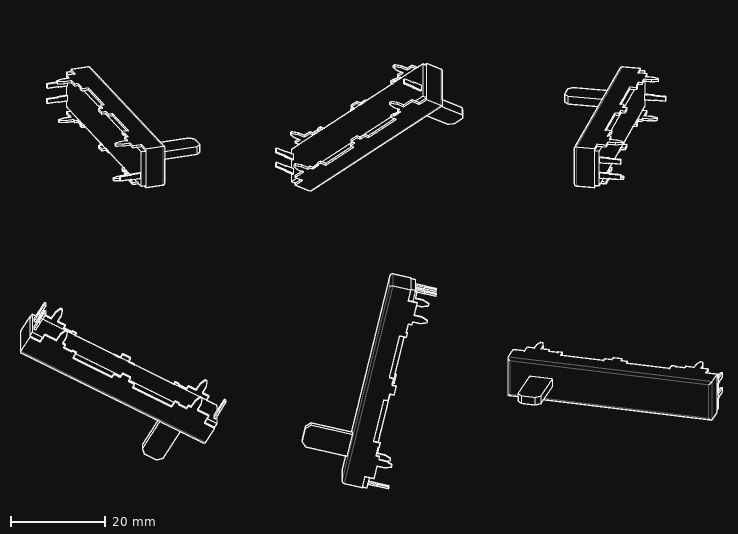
import cadquery as cq


length = 45.0
height = 9.0
cover_depth = 4.5
cover_edge_radius = 0.6
sheet = 0.5

foot_start = 2.5
foot_end = 7.5
ledge_end = 9.5
lug_end = 10.5
centre_step_start = 20.0
centre_tab_start = 21.5
foot_depth = 6.5
ledge_depth = 5.7
lug_depth = 6.0
centre_step_depth = 5.4
centre_tab_depth = 6.4

prong_pair_inset = 5.5
prong_spacing = 1.2
prong_width = 1.5
prong_tip_width = 0.5
prong_taper_depth = 8.15
prong_depth = 9.5

base_depth = 5.55
base_height = height - 2 * sheet

terminal_inset = 0.4
terminal_thickness = 0.4
terminal_offset = 1.75
terminal_width = 1.2
terminal_tip_width = 1.0
terminal_step_depth = 7.6
terminal_depth = 10.12

lever_x = 15.05
lever_width = 5.0
lever_thickness = 1.8
lever_length = 10.0
lever_chamfer = 1.0


def make_flap(bottom_z, prong_shift):
    """Stepped side flap with two prongs, each shifted outwards from the middle of its pair."""
    steps = [
        (foot_start, cover_depth),
        (foot_start, foot_depth),
        (foot_end, foot_depth),
        (foot_end, ledge_depth),
        (ledge_end, ledge_depth),
        (ledge_end, lug_depth),
        (lug_end, lug_depth),
        (lug_end, cover_depth),
        (centre_step_start, cover_depth),
        (centre_step_start, centre_step_depth),
        (centre_tab_start, centre_step_depth),
        (centre_tab_start, centre_tab_depth),
    ]
    left = [(inset - length / 2, -depth) for inset, depth in steps]
    right = [(-x, y) for x, y in reversed(left)]
    root_y = sheet - cover_depth
    left_root = (left[0][0], root_y)
    right_root = (right[-1][0], root_y)
    outline = [left_root] + left + right + [right_root]
    flap = cq.Workplane("XY").workplane(offset=bottom_z).polyline(outline).close().extrude(sheet)

    prong_x = length / 2 - prong_pair_inset + prong_shift
    for x in (-prong_x, prong_x):
        flap = flap.union(make_prong(x, bottom_z))
    return flap


def make_prong(x, bottom_z):
    """Flat prong that tapers to a blunt tip."""
    half = prong_width / 2
    half_tip = prong_tip_width / 2
    outline = [
        (x - half, -cover_depth),
        (x - half, -prong_taper_depth),
        (x - half_tip, -prong_depth),
        (x + half_tip, -prong_depth),
        (x + half, -prong_taper_depth),
        (x + half, -cover_depth),
    ]
    return cq.Workplane("XY").workplane(offset=bottom_z).polyline(outline).close().extrude(sheet)


def make_cover():
    """Cover block with rounded +Y edges and a flap along each long side."""
    cover = (
        cq.Workplane("XY")
        .box(length, cover_depth, height)
        .translate((0, -cover_depth / 2, 0))
        .faces(">Y")
        .edges()
        .fillet(cover_edge_radius)
    )
    cover = cover.union(make_flap(height / 2 - sheet, prong_spacing / 2))
    return cover.union(make_flap(-height / 2, -prong_spacing / 2))


def make_terminal(left_x, z):
    """Flat terminal pin, thin in X, with a narrower outer end."""
    half = terminal_width / 2
    half_tip = terminal_tip_width / 2
    outline = [
        (-cover_depth, z - half),
        (-terminal_step_depth, z - half),
        (-terminal_step_depth, z - half_tip),
        (-terminal_depth, z - half_tip),
        (-terminal_depth, z + half_tip),
        (-terminal_step_depth, z + half_tip),
        (-terminal_step_depth, z + half),
        (-cover_depth, z + half),
    ]
    return cq.Workplane("YZ").workplane(offset=left_x).polyline(outline).close().extrude(terminal_thickness)


def make_base():
    """Base plate between the flaps, with two terminals at the -X end and one at the +X end."""
    thickness = base_depth - cover_depth
    base = (
        cq.Workplane("XY")
        .box(length, thickness, base_height)
        .translate((0, -cover_depth - thickness / 2, 0))
    )
    left_end_x = -length / 2 + terminal_inset
    right_end_x = length / 2 - terminal_inset - terminal_thickness
    terminal_places = [
        (left_end_x, terminal_offset),
        (left_end_x, -terminal_offset),
        (right_end_x, -terminal_offset),
    ]
    for left_x, z in terminal_places:
        base = base.union(make_terminal(left_x, z))
    return base


def make_lever():
    """Flat lever standing on the cover, with its two outer corners cut off."""
    return (
        cq.Workplane("XY")
        .box(lever_width, lever_length, lever_thickness)
        .translate((lever_x, lever_length / 2, 0))
        .faces(">Y")
        .edges("|Z")
        .chamfer(lever_chamfer)
    )


cover = make_cover()
base = make_base()
lever = make_lever()

result = cq.Compound.makeCompound([cover.val(), base.val(), lever.val()])